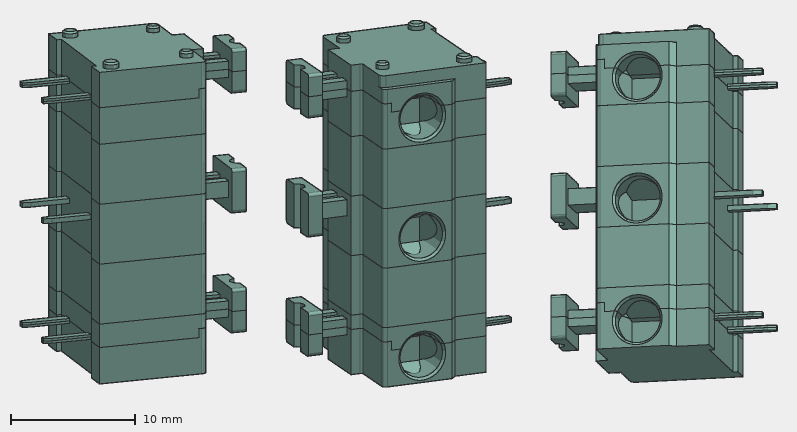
import cadquery as cq

pole_pitch = 10.0
pole_height = 5.0
spacer_height = pole_pitch - pole_height
end_wall = 1.0
top_z = 2 * pole_pitch + pole_height + end_wall

block_width = 12.0
shoulder_y = 9.2
tower_left = 3.7
tower_right = 8.3
tower_y = 10.2
foot_width = 1.9
foot_height = 0.4
shoulder_radius = 0.45
tower_root_radius = 0.2

rail_depth = 0.5
rail_low_y = 2.7
rail_radius = 0.35

entry_y = 5.8
entry_z = 2.25
entry_diameter = 3.7
entry_chamfer = 0.2
funnel_start = 1.3
funnel_depth = 2.0
funnel_end_half_y = 1.2
funnel_end_low = 0.8
funnel_end_high = 2.83

button_x = 5.97
button_z = 3.8
head_width = 4.5
head_height = 3.7
head_y = 12.67
head_top_y = 13.9
head_edge_radius = 0.25
finger_notch_radius = 0.67
finger_notch_rise = 0.08
stem_width = 2.9
stem_height = 1.35
stem_groove_width = 1.1
stem_groove_depth = 0.25

pin_z = 3.05
pin_thickness = 0.4
pin_tip_y = -3.6
pin_taper = 0.7
pin_tip_inset = 0.13
left_pin_x = 3.47
left_pin_width = 0.8
right_pin_x = 8.5
right_pin_width = 0.7

peg_height = 0.5
peg_chamfer = 0.15
pegs = [
    (2.1, 8.15, 1.05),
    (9.9, 8.15, 1.1),
    (1.2, 1.4, 1.25),
    (10.8, 1.4, 1.3),
]

parting_step_y = 8.48
reach = 50.0


def block(base_z, height):
    """Block body with two feet below and the button tower above."""
    outline = [
        (0, 0),
        (foot_width, 0),
        (foot_width, foot_height),
        (block_width - foot_width, foot_height),
        (block_width - foot_width, 0),
        (block_width, 0),
        (block_width, shoulder_y),
        (tower_right, shoulder_y),
        (tower_right, tower_y),
        (tower_left, tower_y),
        (tower_left, shoulder_y),
        (0, shoulder_y),
    ]
    body = cq.Workplane("XY", origin=(0, 0, base_z)).polyline(outline).close().extrude(height)
    for x in (0, block_width):
        body = body.edges(cq.selectors.NearestToPointSelector((x, shoulder_y, base_z + height / 2)))
        body = body.fillet(shoulder_radius)
    root = cq.selectors.NearestToPointSelector((tower_left, shoulder_y, base_z + height / 2))
    return body.edges(root).fillet(tower_root_radius)


def rail(base_z, height):
    """Raised strip along the wire entry side, reaching in to fill the rounded shoulder."""
    return (
        cq.Workplane("XY", origin=(0, 0, base_z))
        .moveTo(shoulder_radius, shoulder_y)
        .lineTo(rail_radius - rail_depth, shoulder_y)
        .radiusArc((-rail_depth, shoulder_y - rail_radius), -rail_radius)
        .lineTo(-rail_depth, rail_low_y + rail_depth)
        .lineTo(0, rail_low_y)
        .lineTo(shoulder_radius, rail_low_y)
        .close()
        .extrude(height)
    )


def wire_entry(base_z):
    """Cutter for the chamfered round mouth and the funnel behind it."""
    radius = entry_diameter / 2
    mouth_plane = cq.Workplane("YZ", origin=(-rail_depth, entry_y, base_z + entry_z))
    chamfer = (
        mouth_plane.circle(radius + entry_chamfer)
        .workplane(offset=entry_chamfer)
        .circle(radius)
        .loft()
    )
    bore = mouth_plane.circle(radius).extrude(funnel_start + funnel_depth)

    end_height = funnel_end_high - funnel_end_low
    end_center = (funnel_end_high + funnel_end_low) / 2 - entry_z
    funnel = (
        mouth_plane.workplane(offset=funnel_start)
        .rect(entry_diameter, entry_diameter)
        .workplane(offset=funnel_depth)
        .center(0, end_center)
        .rect(2 * funnel_end_half_y, end_height)
        .loft(ruled=True)
    )
    mouth = mouth_plane.rect(entry_diameter, entry_diameter).extrude(funnel_start)
    return bore.intersect(funnel.union(mouth)).union(chamfer)


def button(base_z):
    """Stem standing on the tower, and the head with its finger notch."""
    axis = cq.Workplane("XY", origin=(button_x, 0, base_z + button_z))
    stem_length = head_y - tower_y
    stem_y = (head_y + tower_y) / 2
    stem = axis.center(0, stem_y).box(stem_width, stem_length, stem_height)
    groove = (
        axis.workplane(offset=stem_height / 2 - stem_groove_depth)
        .center(0, stem_y)
        .rect(stem_groove_width, stem_length)
        .extrude(stem_groove_depth)
    )
    head = (
        axis.center(0, (head_y + head_top_y) / 2)
        .box(head_width, head_top_y - head_y, head_height)
        .edges("|Y")
        .fillet(head_edge_radius)
    )
    notch = (
        axis.center(0, head_top_y + finger_notch_rise)
        .circle(finger_notch_radius)
        .extrude(head_height / 2, both=True)
    )
    return stem.cut(groove).union(head.cut(notch))


def pin(base_z, x, width):
    """Flat solder pin with a tapered tip, rooted on the block between its feet."""
    half = width / 2
    tip_half = half - pin_tip_inset
    return (
        cq.Workplane("XY", origin=(x, 0, base_z + pin_z))
        .polyline([
            (-half, foot_height),
            (-half, pin_tip_y + pin_taper),
            (-tip_half, pin_tip_y),
            (tip_half, pin_tip_y),
            (half, pin_tip_y + pin_taper),
            (half, foot_height),
        ])
        .close()
        .extrude(pin_thickness / 2, both=True)
    )


def pole(base_z, height):
    """One complete wire pole, with its button and its two pins."""
    body = block(base_z, height).union(rail(base_z, pole_height)).cut(wire_entry(base_z))
    body = body.union(button(base_z))
    body = body.union(pin(base_z, left_pin_x, left_pin_width))
    return body.union(pin(base_z, right_pin_x, right_pin_width))


def spacer(base_z):
    """Plain piece between two poles."""
    return block(base_z, spacer_height).union(rail(base_z, spacer_height))


def below_parting(base_z):
    """Everything under the stepped parting surface of a pole."""
    floor_z = base_z - reach
    return (
        cq.Workplane("YZ", origin=(-reach, 0, 0))
        .polyline([
            (-reach, floor_z),
            (reach, floor_z),
            (reach, base_z + button_z),
            (parting_step_y, base_z + button_z),
            (parting_step_y, base_z + pin_z),
            (-reach, base_z + pin_z),
        ])
        .close()
        .extrude(2 * reach)
    )


def add_pegs(body):
    """Chamfered locating pegs on the top end."""
    for x, y, diameter in pegs:
        peg = (
            cq.Workplane("XY", origin=(x, y, top_z))
            .circle(diameter / 2)
            .extrude(peg_height)
            .faces(">Z")
            .chamfer(peg_chamfer)
        )
        body = body.union(peg)
    return body


bottom_pole = pole(0, pole_height)
middle_pole = pole(pole_pitch, pole_height)
top_pole = add_pegs(pole(2 * pole_pitch, pole_height + end_wall))

bodies = [middle_pole]
for end_pole, base_z in ((bottom_pole, 0), (top_pole, 2 * pole_pitch)):
    lower_side = below_parting(base_z)
    bodies.append(end_pole.intersect(lower_side))
    bodies.append(end_pole.cut(lower_side))
for base_z in (pole_height, pole_pitch + pole_height):
    bodies.append(spacer(base_z))

result = cq.Compound.makeCompound([body.val() for body in bodies])